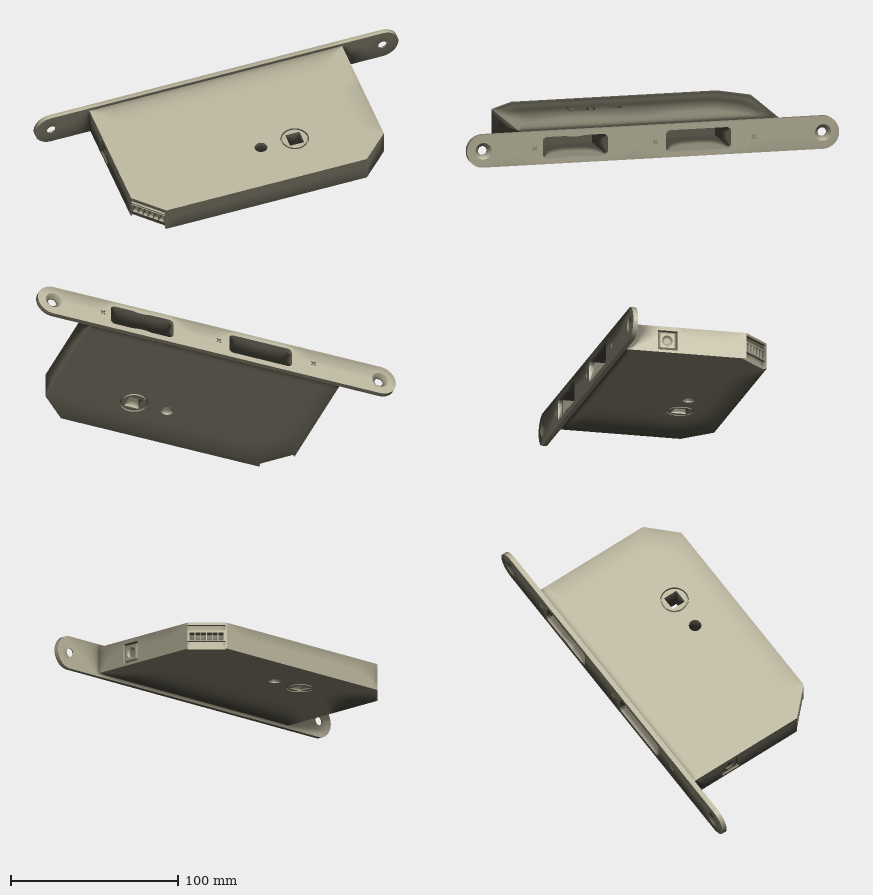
import cadquery as cq
import math

plate_length = 230.0
plate_width = 20.0
plate_thickness = 3.0
mount_offset = 104.9
mount_hole_dia = 5.3
mount_sink_dia = 10.1

total_depth = 95.0
case_depth = total_depth - plate_thickness
case_length = 160.0
case_height = 16.0
case_center_y = -0.7
corner_cut = 16.5
case_y_min = case_center_y - case_length / 2

window_length = 40.2
window_height = 13.0
window_corner = 2.8
latch_window_y = 48.0
bolt_window_y = -28.0
pocket_depth = 34.5
latch_pocket_inset = 0.7
bulge_length = 12.0
bulge_rise = 0.7

screw_positions_y = (73.1, -1.4, -62.0)
screw_head_dia = 7.5
screw_shank_dia = 4.1
screw_head_height = (screw_head_dia - screw_shank_dia) / 2
screw_length = 13.8
drive_span = 3.7
drive_slot = 1.0
drive_depth = 1.0

follower_x = 65.0
follower_y = 27.5
follower_hole_dia = 17.0
follower_flange_dia = 16.5
follower_collar_dia = 15.0
follower_collar_height = 1.2
spindle_side = 9.0
side_hole_y = 6.2
side_hole_dia = 7.5

plug_x = 30.0
plug_z = -0.5
plug_pocket_side = 12.0
plug_pocket_depth = 2.8
plug_base_side = 11.0
plug_bevel = 1.2
plug_height = 2.0
plug_sink_dia = 6.7
plug_sink_depth = 1.2

cut_face_length = corner_cut * math.sqrt(2)
recess_end_wall = 1.0
recess_top_wall = 1.4
recess_depth = 2.0
recess_length = cut_face_length - recess_end_wall
recess_height = case_height - recess_top_wall
strip_height = 7.0
strip_lip_height = 1.0
strip_lip_setback = 0.5
terminal_count = 6
terminal_pitch = 3.5
terminal_width = 3.0
terminal_height = 5.0
terminal_depth = 5.5


def plane_facing_inwards(x, y):
    """Plane at the given point whose normal points into the lock, along +X."""
    return cq.Plane(origin=(x, y, 0), xDir=(0, 1, 0), normal=(1, 0, 0))


def cone(origin, direction, wide_dia, narrow_dia, depth):
    """Cone that narrows from its wide end at the origin along the direction."""
    solid = cq.Solid.makeCone(
        wide_dia / 2, narrow_dia / 2, depth, cq.Vector(*origin), cq.Vector(*direction)
    )
    return cq.Workplane(obj=solid)


def window_bar(x, y, length, depth):
    """Rectangular bar from X = x inwards, as high as the windows."""
    return cq.Workplane(plane_facing_inwards(x, y)).rect(length, window_height).extrude(depth)


def plate_window(y):
    return window_bar(0, y, window_length, plate_thickness).edges("|X").fillet(window_corner)


def latch_window_bulges():
    """Two shallow arched swellings on the long edges of the latch window."""
    bulges = cq.Workplane(plane_facing_inwards(0, latch_window_y))
    for side in (1, -1):
        edge_z = side * window_height / 2
        bulges = (
            bulges.moveTo(-bulge_length / 2, edge_z)
            .threePointArc((0, edge_z - side * bulge_rise), (bulge_length / 2, edge_z))
            .close()
        )
    return bulges.extrude(plate_thickness)


def screw_blank(y):
    """Countersunk head and shank without a drive; also the shape of the screw's seat."""
    head = cone((0, y, 0), (1, 0, 0), screw_head_dia, screw_shank_dia, screw_head_height)
    shank = (
        cq.Workplane(plane_facing_inwards(screw_head_height, y))
        .circle(screw_shank_dia / 2)
        .extrude(screw_length - screw_head_height)
    )
    return head.union(shank)


def make_screw(y):
    """Countersunk screw with a cross recess, its head flush with the plate."""
    screw = screw_blank(y)
    for angle in (45, 135):
        slot = cq.Workplane(plane_facing_inwards(0, y)).transformed(rotate=(0, 0, angle))
        screw = screw.cut(slot.rect(drive_span, drive_slot).extrude(drive_depth))
    return screw


def make_plate():
    plate = (
        cq.Workplane(plane_facing_inwards(0, 0))
        .slot2D(plate_length, plate_width)
        .extrude(plate_thickness)
    )
    sink_depth = (mount_sink_dia - mount_hole_dia) / 2
    for y in (mount_offset, -mount_offset):
        hole = cq.Workplane(plane_facing_inwards(0, y)).circle(mount_hole_dia / 2).extrude(plate_thickness)
        plate = plate.cut(hole)
        plate = plate.cut(cone((0, y, 0), (1, 0, 0), mount_sink_dia, mount_hole_dia, sink_depth))
    latch_window = plate_window(latch_window_y).cut(latch_window_bulges())
    plate = plate.cut(latch_window)
    plate = plate.cut(plate_window(bolt_window_y))
    for y in screw_positions_y:
        plate = plate.cut(screw_blank(y))
    return plate


def cut_corner_frame():
    """Workplane on the cut corner at +X, -Y, facing outwards, at the middle of the recess length."""
    from_corner = recess_length / 2 / math.sqrt(2)
    origin = (total_depth - corner_cut + from_corner, case_y_min + from_corner, 0)
    return cq.Workplane(cq.Plane(origin=origin, xDir=(1, 1, 0), normal=(1, -1, 0)))


def make_terminal_strip():
    """Bar across the recess with a set-back upper lip and a row of open terminals."""
    face = cut_corner_frame()
    strip = face.rect(recess_length, strip_height).extrude(-recess_depth)
    lip_center_z = (strip_height - strip_lip_height) / 2
    lip = face.center(0, lip_center_z).rect(recess_length, strip_lip_height)
    return strip.cut(lip.extrude(-strip_lip_setback))


def terminal_openings():
    return (
        cut_corner_frame()
        .center(0, -strip_lip_height / 2)
        .rarray(terminal_pitch, 2.3, terminal_count, 1)
        .rect(terminal_width, terminal_height)
        .extrude(-terminal_depth)
    )


def make_case():
    case = (
        cq.Workplane("XY")
        .box(case_depth, case_length, case_height)
        .translate((plate_thickness + case_depth / 2, case_center_y, 0))
        .edges("|Z and >X")
        .chamfer(corner_cut)
    )
    latch_pocket_y = latch_window_y - latch_pocket_inset / 2
    latch_pocket_length = window_length - latch_pocket_inset
    case = case.cut(window_bar(plate_thickness, latch_pocket_y, latch_pocket_length, pocket_depth))
    case = case.cut(window_bar(plate_thickness, bolt_window_y, window_length, pocket_depth))
    for y, diameter in ((follower_y, follower_hole_dia), (side_hole_y, side_hole_dia)):
        bore = cq.Workplane("XY").center(follower_x, y).circle(diameter / 2)
        case = case.cut(bore.extrude(case_height, both=True))
    plug_pocket = cq.Workplane("XZ", origin=(plug_x, case_y_min, plug_z)).rect(
        plug_pocket_side, plug_pocket_side
    )
    case = case.cut(plug_pocket.extrude(-plug_pocket_depth))
    recess = (
        cut_corner_frame()
        .center(0, -recess_top_wall / 2)
        .rect(recess_length, recess_height)
        .extrude(-recess_depth)
    )
    case = case.cut(recess).union(make_terminal_strip()).cut(terminal_openings())
    for y in screw_positions_y:
        case = case.cut(screw_blank(y))
    return case


def make_follower():
    """Hub with a wide middle flange, a collar at each end and a square spindle hole."""
    flange_height = case_height - 2 * follower_collar_height
    center = cq.Workplane("XY").center(follower_x, follower_y)
    collar = center.circle(follower_collar_dia / 2).extrude(case_height / 2, both=True)
    flange = center.circle(follower_flange_dia / 2).extrude(flange_height / 2, both=True)
    spindle_hole = center.rect(spindle_side, spindle_side).extrude(case_height, both=True)
    return collar.union(flange).cut(spindle_hole)


def make_plug():
    """Bevelled square plug with a conical dimple, standing on its pocket floor."""
    floor_y = case_y_min + plug_pocket_depth
    plug = (
        cq.Workplane("XZ", origin=(plug_x, floor_y, plug_z))
        .rect(plug_base_side, plug_base_side)
        .extrude(plug_height)
        .faces("<Y")
        .chamfer(plug_bevel)
    )
    top = (plug_x, floor_y - plug_height, plug_z)
    dimple_floor_dia = plug_sink_dia - 2 * plug_sink_depth
    return plug.cut(cone(top, (0, 1, 0), plug_sink_dia, dimple_floor_dia, plug_sink_depth))


plate = make_plate()
case = make_case()
screws = [make_screw(y) for y in screw_positions_y]
follower = make_follower()
plug = make_plug()

result = cq.Compound.makeCompound(
    [plate.val(), case.val(), *[screw.val() for screw in screws], follower.val(), plug.val()]
)